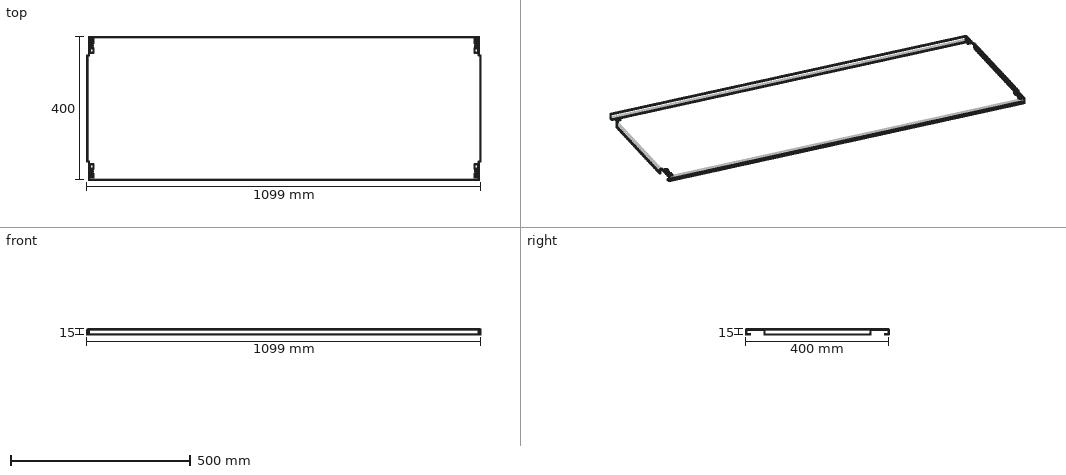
import cadquery as cq

length = 1099.0
width = 400.0
height = 15.0
sheet = 1.5
bend_radius = 3.8

panel_length = 1089.0
lip_width = 11.0

flange_length = 297.0
flange_corner_radius = 3.0
flange_overlap = 3.0

window_length = 10.0
edge_strip = 2.0
outer_window_width = 10.0
inner_window_width = 12.0
outer_window_inset = 7.0
web_width = 15.0
web_hole_diameter = 5.0


def channel_outline(span, depth, radius):
    """Rounded section, centred in Y with its top at Z = 0."""
    return (
        cq.Workplane("YZ")
        .rect(span, depth)
        .extrude(panel_length / 2, both=True)
        .edges("|X")
        .fillet(radius)
        .translate((0, 0, -depth / 2))
    )


def folded_panel():
    """Top sheet, side walls and inward bottom lips, bent from one sheet."""
    outside = channel_outline(width, height, bend_radius)
    inside = channel_outline(width - 2 * sheet, height - 2 * sheet, bend_radius - sheet)
    bottom_opening = cq.Workplane("XY").box(
        length, width - 2 * lip_width, height / 2, centered=(True, True, False)
    ).translate((0, 0, -height))
    return outside.cut(inside.translate((0, 0, -sheet))).cut(bottom_opening)


def end_flange(side):
    """Sheet bent down through a rounded corner at one end."""
    bend_start = length / 2 - bend_radius
    inner_face = length / 2 - sheet
    flange = (
        cq.Workplane("XZ")
        .moveTo(bend_start - flange_overlap, 0)
        .lineTo(bend_start, 0)
        .radiusArc((length / 2, -bend_radius), bend_radius)
        .lineTo(length / 2, -height)
        .lineTo(inner_face, -height)
        .lineTo(inner_face, -bend_radius)
        .radiusArc((bend_start, -sheet), -(bend_radius - sheet))
        .lineTo(bend_start - flange_overlap, -sheet)
        .close()
        .extrude(flange_length / 2, both=True)
        .edges("|X")
        .edges("<Z")
        .fillet(flange_corner_radius)
    )
    return flange if side > 0 else flange.mirror("YZ")


def corner_window(x_side, y_side, inset, window_width):
    """Cutter for a rectangular window through the top sheet only."""
    x_centre = panel_length / 2 - edge_strip - window_length / 2
    y_centre = width / 2 - inset - window_width / 2
    return cq.Workplane("XY").box(window_length, window_width, 2 * sheet).translate(
        (x_side * x_centre, y_side * y_centre, -sheet / 2)
    )


def web_hole(x_side, y_side):
    """Cutter for a small round hole through the middle of the web."""
    x_centre = panel_length / 2 - edge_strip - window_length / 2
    y_centre = width / 2 - outer_window_inset - outer_window_width - web_width / 2
    return cq.Workplane("XY").cylinder(2 * sheet, web_hole_diameter / 2).translate(
        (x_side * x_centre, y_side * y_centre, -sheet / 2)
    )


result = folded_panel()
inner_window_inset = outer_window_inset + outer_window_width + web_width
for x_side in (-1, 1):
    result = result.union(end_flange(x_side))
    for y_side in (-1, 1):
        result = result.cut(corner_window(x_side, y_side, outer_window_inset, outer_window_width))
        result = result.cut(corner_window(x_side, y_side, inner_window_inset, inner_window_width))
        result = result.cut(web_hole(x_side, y_side))